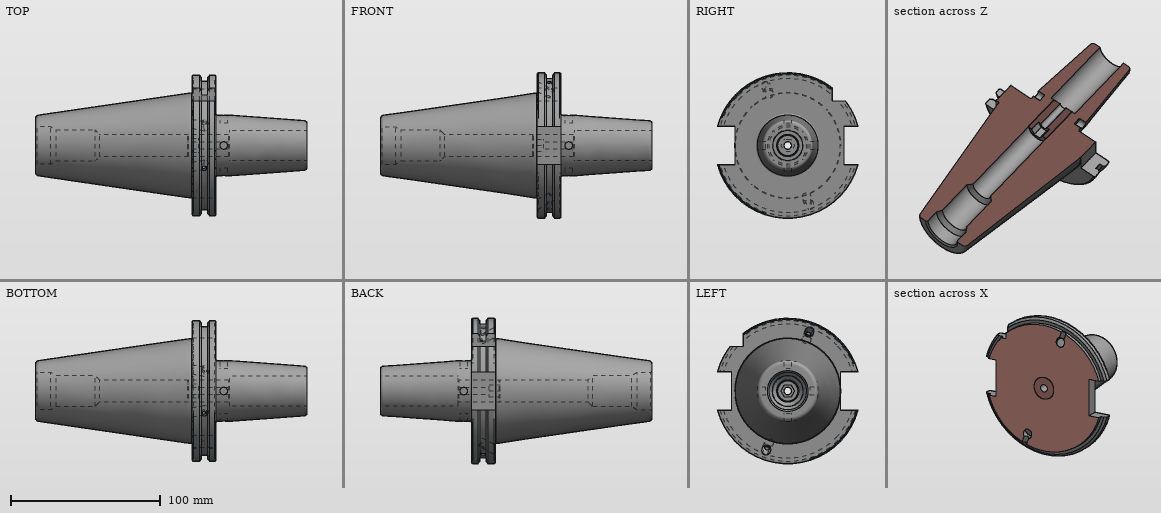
import cadquery as cq
import math

total_length = 181.8

taper_end = 101.8
taper_big_radius = 34.9
taper_slope = 7 / 24 / 2
taper_small_radius = taper_big_radius - taper_end * taper_slope
taper_tip_fillet = 2.7
neck_start = 103.5
neck_radius = 35.0
neck_base_fillet = 0.4

flange_start = 104.9
flange_end = 120.7
flange_width = flange_end - flange_start
flange_radius = 48.7
flange_edge_fillet = 0.9
groove_floor_radius = 44.9
groove_wall_radius = 47.0
groove_floor_start = 111.0
groove_floor_width = 4.2
groove_floor_end = groove_floor_start + groove_floor_width
groove_bevel_width = 1.3

slot_width = 25.6
back_slot_floor = 37.6
front_slot_floor = 35.3
notch_offset = 29.8

hub_radius = 20.4
hub_base_fillet = 1.0
hub_cone_start = 130.1
hub_tip_radius = 16.5
hub_tip_fillet = 2.2
balance_hole_count = 4
balance_hole_diameter = 5.0
balance_hole_depth = 5.5
balance_hole_x = 126.0

entry_radius = 13.6
pilot_radius = 12.5
entry_chamfer = entry_radius - pilot_radius
pilot_end = 10.2
lead_in_length = 3.6
pull_thread_radius = 10.4
pull_thread_end = 40.0
screw_radius = 7.5
step_cone_length = pull_thread_radius - screw_radius
tool_bore_radius = 10.0
tool_bore_start = 129.8

screw_start = 101.8
screw_length = tool_bore_start - screw_start
screw_chamfer = 0.7
socket_across_flats = 8.0
socket_across_corners = socket_across_flats / math.cos(math.radians(30))
socket_depth = 7.3
screw_hole_diameter = 4.9

coolant_angles = (20, 200)
coolant_hole_diameter = 6.0
coolant_hole_depth = 10.9
coolant_entry_radius = 42.0
coolant_tilt = 30
channel_diameter = 3.3
channel_x = 112.9
channel_inner_radius = 37.5

overshoot = 3.6


def revolve_about_x(points):
    """Solid of revolution about X from (x, radius) points."""
    return cq.Workplane("XY").polyline(points).close().revolve(360, (0, 0, 0), (1, 0, 0))


def circle_at(x, radius):
    """Selects the circular edge of the given radius, centred on the axis at x."""
    tolerance = 0.02
    ring = cq.selectors.BoxSelector(
        (x - tolerance, -radius - tolerance, -radius - tolerance),
        (x + tolerance, radius + tolerance, radius + tolerance),
        boundingbox=True,
    )
    return lambda body: body.edges(ring).edges(cq.selectors.RadiusNthSelector(-1))


def make_turned_body():
    body = revolve_about_x([
        (0, 0),
        (0, taper_small_radius),
        (taper_end, taper_big_radius),
        (neck_start, neck_radius),
        (flange_start, neck_radius),
        (flange_start, flange_radius),
        (groove_floor_start - groove_bevel_width, flange_radius),
        (groove_floor_start, groove_wall_radius),
        (groove_floor_start, groove_floor_radius),
        (groove_floor_end, groove_floor_radius),
        (groove_floor_end, groove_wall_radius),
        (groove_floor_end + groove_bevel_width, flange_radius),
        (flange_end, flange_radius),
        (flange_end, hub_radius),
        (hub_cone_start, hub_radius),
        (total_length, hub_tip_radius),
        (total_length, 0),
    ])
    rounded_circles = (
        (0, taper_small_radius, taper_tip_fillet),
        (flange_start, neck_radius, neck_base_fillet),
        (flange_start, flange_radius, flange_edge_fillet),
        (flange_end, flange_radius, flange_edge_fillet),
        (flange_end, hub_radius, hub_base_fillet),
        (total_length, hub_tip_radius, hub_tip_fillet),
    )
    for x, radius, fillet_radius in rounded_circles:
        body = circle_at(x, radius)(body).fillet(fillet_radius)
    return body


def make_bore():
    lead_in_end = pilot_end + lead_in_length
    return revolve_about_x([
        (0, 0),
        (0, entry_radius),
        (entry_chamfer, pilot_radius),
        (pilot_end, pilot_radius),
        (lead_in_end, pull_thread_radius),
        (pull_thread_end, pull_thread_radius),
        (pull_thread_end + step_cone_length, screw_radius),
        (tool_bore_start, screw_radius),
        (tool_bore_start, tool_bore_radius),
        (total_length, tool_bore_radius),
        (total_length, 0),
    ])


def make_flange_block(y_min, y_max, z_min, z_max):
    """Block across the full flange width, between the given Y and Z limits."""
    block = cq.Workplane("XY").box(flange_width, y_max - y_min, z_max - z_min, centered=False)
    return block.translate((flange_start, y_min, z_min))


def make_flange_cuts():
    outside = flange_radius + overshoot
    half_slot = slot_width / 2
    back_slot = make_flange_block(back_slot_floor, outside, -half_slot, half_slot)
    front_slot = make_flange_block(-outside, -front_slot_floor, -half_slot, half_slot)
    notch = make_flange_block(notch_offset, outside, notch_offset, outside)
    return [back_slot, front_slot, notch]


def make_balance_hole(angle):
    """Flat-bottomed radial hole in the hub, turned from +Z about the X axis."""
    floor = cq.Workplane("XY", origin=(balance_hole_x, 0, hub_radius - balance_hole_depth))
    hole = floor.circle(balance_hole_diameter / 2).extrude(balance_hole_depth + overshoot)
    return hole.rotate((0, 0, 0), (1, 0, 0), angle)


def make_coolant_passage(angle):
    """Inclined hole from the flange face, joined by a radial channel from the groove floor."""
    tilt = math.radians(coolant_tilt)
    direction = cq.Vector(math.cos(tilt), 0, -math.sin(tilt))
    entry = cq.Vector(flange_start, 0, coolant_entry_radius)
    inclined_hole = cq.Solid.makeCylinder(
        coolant_hole_diameter / 2,
        coolant_hole_depth + overshoot,
        entry - direction * overshoot,
        direction,
    )
    channel = cq.Solid.makeCylinder(
        channel_diameter / 2,
        flange_radius - channel_inner_radius,
        cq.Vector(channel_x, 0, channel_inner_radius),
        cq.Vector(0, 0, 1),
    )
    passage = cq.Workplane(inclined_hole).union(cq.Workplane(channel))
    return passage.rotate((0, 0, 0), (1, 0, 0), angle)


def make_housing():
    housing = make_turned_body().cut(make_bore())
    for flange_cut in make_flange_cuts():
        housing = housing.cut(flange_cut)
    for index in range(balance_hole_count):
        housing = housing.cut(make_balance_hole(index * 360 / balance_hole_count))
    for angle in coolant_angles:
        housing = housing.cut(make_coolant_passage(angle))
    return housing


def make_setting_screw():
    """Drilled screw with chamfered ends and a hexagon socket facing -X."""
    end_plane = cq.Workplane("YZ", origin=(screw_start, 0, 0))
    screw = end_plane.circle(screw_radius).extrude(screw_length)
    screw = screw.faces("<X or >X").chamfer(screw_chamfer)
    socket = end_plane.polygon(6, socket_across_corners).extrude(socket_depth)
    through_hole = end_plane.circle(screw_hole_diameter / 2).extrude(screw_length)
    return screw.cut(socket).cut(through_hole)


housing = make_housing()
setting_screw = make_setting_screw()
result = cq.Compound.makeCompound([housing.val(), setting_screw.val()])